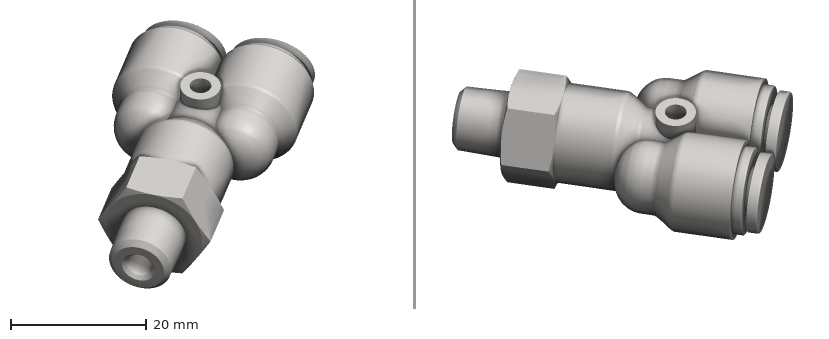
import cadquery as cq
import math


overall_length = 47.95
thread_length = 8.0
hex_length = 8.0
button_flange_thickness = 1.6
button_gap = 0.75
collar_length = 1.55

button_top = overall_length
button_flange_bottom = button_top - button_flange_thickness
collar_top = button_flange_bottom - button_gap
housing_top = collar_top - collar_length
housing_bottom = thread_length + hex_length

barrel_diameter = 14.9
neck_diameter = 11.0
port_offset = 6.8
cone_slope = 1.5
blend_radius = 1.0
stem_shoulder_y = 25.0
port_shoulder_y = 35.05
port_tip_y = 25.4
port_tip_radius = 4.55
boss_diameter = 6.0
boss_height = barrel_diameter
boss_hole_diameter = 3.2
boss_y = 32.95

hex_flats = 15.0
hex_chamfer_diameter = 14.9
hex_chamfer_angle = 20.0
thread_base_diameter = 9.98
thread_taper = 1 / 16
thread_chamfer = 0.8
bore_diameter = 4.0
bore_chamfer = 0.55

collar_diameter = 13.15
button_width = 13.0
button_height = 11.0
button_stem_diameter = 7.5
edge_radius = 0.2


def revolve_about_y(profile):
    """Closed (radius, y) half profile turned about the Y axis."""
    return profile.close().revolve(360, (0, 0, 0), (0, 1, 0))


def cylinder_along_y(diameter, start, end):
    """Round bar on the Y axis between two Y positions."""
    return cq.Workplane("XZ", origin=(0, start, 0)).circle(diameter / 2).extrude(start - end)


def rounded_shoulder(small_diameter, large_diameter, shoulder_y, direction, small_end, large_end):
    """Small cylinder, cone and large cylinder on Y, with both cone corners rounded.

    direction is +1 where the large cylinder lies toward +Y of the cone, -1 where it lies toward -Y.
    """
    small = small_diameter / 2
    large = large_diameter / 2
    neck_y = shoulder_y - direction * cone_slope * (large - small)
    profile = (
        cq.Workplane("XY")
        .moveTo(0, small_end)
        .lineTo(small, small_end)
        .lineTo(small, neck_y)
        .lineTo(large, shoulder_y)
        .lineTo(large, large_end)
        .lineTo(0, large_end)
    )
    solid = revolve_about_y(profile)
    corners = solid.faces("%CONE").edges("%CIRCLE")
    return corners.fillet(blend_radius)


def make_housing():
    """Stem, two ports with rounded tips and a cross-drilled mounting boss."""
    housing = rounded_shoulder(neck_diameter, barrel_diameter, stem_shoulder_y, -1, boss_y, housing_bottom)
    port = rounded_shoulder(neck_diameter, barrel_diameter, port_shoulder_y, 1, port_tip_y, housing_top)
    port = port.faces("<Y").edges().fillet(port_tip_radius)
    for side in (-1, 1):
        housing = housing.union(port.translate((side * port_offset, 0, 0)))
    boss_plane = cq.Workplane("XY").center(0, boss_y)
    housing = housing.union(boss_plane.circle(boss_diameter / 2).extrude(boss_height / 2, both=True))
    return housing.cut(boss_plane.circle(boss_hole_diameter / 2).extrude(boss_height, both=True))


def make_stud():
    """Hexagon with chamfered corners, tapered thread blank and a central bore."""
    hex_corner = hex_flats / math.sqrt(3)
    chamfer_circle = hex_chamfer_diameter / 2
    chamfer_height = (hex_corner - chamfer_circle) * math.tan(math.radians(hex_chamfer_angle))
    hexagon = (
        cq.Workplane("XZ", origin=(0, thread_length, 0))
        .polygon(6, 2 * hex_corner)
        .extrude(-hex_length)
    )
    envelope = revolve_about_y(
        cq.Workplane("XY")
        .moveTo(0, thread_length)
        .lineTo(chamfer_circle, thread_length)
        .lineTo(hex_corner, thread_length + chamfer_height)
        .lineTo(hex_corner, housing_bottom - chamfer_height)
        .lineTo(chamfer_circle, housing_bottom)
        .lineTo(0, housing_bottom)
    )
    base = thread_base_diameter / 2
    tip = base - thread_length * thread_taper / 2
    chamfer_top = tip + thread_chamfer * thread_taper / 2
    thread = revolve_about_y(
        cq.Workplane("XY")
        .lineTo(tip - thread_chamfer, 0)
        .lineTo(chamfer_top, thread_chamfer)
        .lineTo(base, thread_length)
        .lineTo(0, thread_length)
    )
    bore = bore_diameter / 2
    passage = revolve_about_y(
        cq.Workplane("XY")
        .lineTo(bore + bore_chamfer, 0)
        .lineTo(bore, bore_chamfer)
        .lineTo(bore, housing_bottom)
        .lineTo(0, housing_bottom)
    )
    return hexagon.intersect(envelope).union(thread).cut(passage)


def make_collar(x):
    """Plain round end cap of a port, with its outer edge rounded."""
    collar = cylinder_along_y(collar_diameter, housing_top, collar_top)
    return collar.faces(">Y").edges().fillet(edge_radius).translate((x, 0, 0))


def make_button(x):
    """Oval push button on a round stem."""
    flange = (
        cq.Workplane("XZ", origin=(0, button_flange_bottom, 0))
        .ellipse(button_width / 2, button_height / 2)
        .extrude(-button_flange_thickness)
        .faces(">Y")
        .edges()
        .fillet(edge_radius)
    )
    stem = cylinder_along_y(button_stem_diameter, collar_top, button_flange_bottom)
    return flange.union(stem).translate((x, 0, 0))


housing = make_housing()
stud = make_stud()
port_positions = (-port_offset, port_offset)
collars = [make_collar(x).val() for x in port_positions]
buttons = [make_button(x).val() for x in port_positions]

result = cq.Compound.makeCompound([housing.val(), stud.val(), *collars, *buttons])